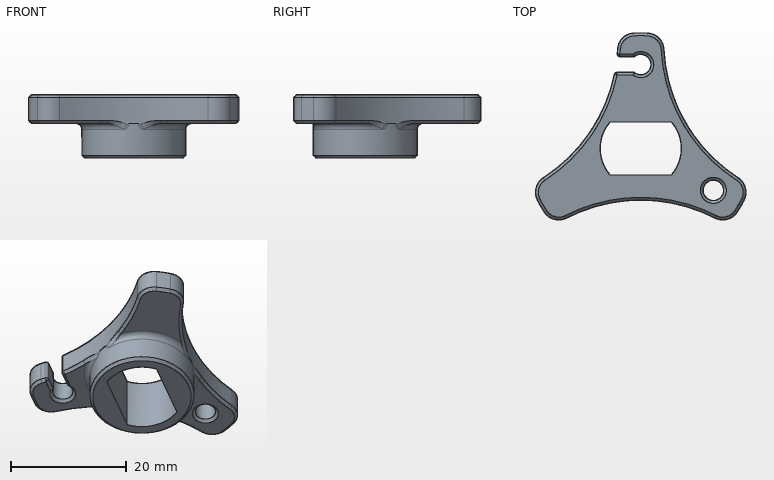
import cadquery as cq
import math

plate_thickness = 5.0
total_height = 11.0
edge_chamfer = 0.5
arm_count = 3
arm_step = 360.0 / arm_count

tip_radius = 20.0
tip_corner_radius = 3.0
waist_arc_radius = 28.0
waist_distance = 8.95

boss_radius = 9.0
boss_fillet = 1.0

window_diameter = 14.0
window_width = 9.1

hole_diameter = 3.5
hole_distance = 14.5
hook_arm_angle = 90.0
round_hole_arm_angle = hook_arm_angle - arm_step
slot_width = 2.65
slot_mouth_radius = 0.5

tolerance = 0.01


def polar(radius, angle):
    """Point at a distance from the part axis, with the angle in degrees."""
    return (
        radius * math.cos(math.radians(angle)),
        radius * math.sin(math.radians(angle)),
    )


def between(start, end, fraction):
    """Point part of the way from start to end."""
    return tuple(a + (b - a) * fraction for a, b in zip(start, end))


def make_outline_prism(bottom_z):
    """Arm outline extruded from bottom_z up to the top face."""
    waist_center_distance = waist_distance + waist_arc_radius
    corner_center_distance = tip_radius - tip_corner_radius
    tangent_distance = waist_arc_radius + tip_corner_radius
    cosine = (waist_center_distance**2 + corner_center_distance**2 - tangent_distance**2) / (
        2 * waist_center_distance * corner_center_distance
    )
    half_tip_angle = arm_step / 2 - math.degrees(math.acos(cosine))
    tangent_fraction = tip_corner_radius / tangent_distance

    def corner_points(tip_angle, waist_angle):
        """Tip end, middle and waist end of one corner arc."""
        center = polar(corner_center_distance, tip_angle)
        waist_center = polar(waist_center_distance, waist_angle)
        tip_end = polar(tip_radius, tip_angle)
        waist_end = between(center, waist_center, tangent_fraction)
        chord_middle = between(tip_end, waist_end, 0.5)
        reach = tip_corner_radius / math.dist(center, chord_middle)
        return tip_end, between(center, chord_middle, reach), waist_end

    first_waist_angle = hook_arm_angle - arm_step / 2
    outline_start = corner_points(hook_arm_angle - half_tip_angle, first_waist_angle)[2]
    outline = cq.Workplane("XY").workplane(offset=bottom_z).moveTo(*outline_start)
    for index in range(arm_count):
        arm_angle = hook_arm_angle + index * arm_step
        next_arm_angle = arm_angle + arm_step
        waist_before = arm_angle - arm_step / 2
        waist_after = arm_angle + arm_step / 2
        tip_start, start_middle, _ = corner_points(arm_angle - half_tip_angle, waist_before)
        tip_end, end_middle, arm_end = corner_points(arm_angle + half_tip_angle, waist_after)
        next_arm_start = corner_points(next_arm_angle - half_tip_angle, waist_after)[2]
        outline = (
            outline.threePointArc(start_middle, tip_start)
            .threePointArc(polar(tip_radius, arm_angle), tip_end)
            .threePointArc(end_middle, arm_end)
            .threePointArc(polar(waist_distance, waist_after), next_arm_start)
        )
    return outline.close().extrude(-bottom_z)


def make_flared_disk():
    """Disk inside the plate whose underside curves down to the boss through the boss fillet."""
    flare_radius = boss_radius + boss_fillet
    disk_radius = flare_radius + 2 * edge_chamfer
    disk_top_z = -plate_thickness / 2
    fillet_end_z = -plate_thickness - boss_fillet
    arc_inset = boss_fillet * math.sqrt(0.5)
    disk = (
        cq.Workplane("XZ")
        .moveTo(0, disk_top_z)
        .lineTo(disk_radius, disk_top_z)
        .lineTo(disk_radius, -plate_thickness)
        .lineTo(flare_radius, -plate_thickness)
        .threePointArc((flare_radius - arc_inset, fillet_end_z + arc_inset), (boss_radius, fillet_end_z))
        .lineTo(0, fillet_end_z)
        .close()
        .revolve(360, (0, 0, 0), (0, 1, 0))
    )
    return disk.intersect(make_outline_prism(fillet_end_z))


def make_boss_flare():
    """Flare between plate and boss, with the rim chamfer following its sloping edges.

    The rim chamfers of neighbouring arms run into each other at the boss, so
    one arm's sector is chamfered by itself and then repeated.
    """
    disk = make_flared_disk()

    def on_sloping_rim(edge):
        middle = edge.positionAt(0.5)
        in_sector = middle.y > abs(middle.x) * math.tan(math.radians(90 - arm_step / 2))
        drop = abs(edge.startPoint().z - edge.endPoint().z)
        sloping = drop > boss_fillet / 2
        below_plate = edge.BoundingBox().zmax < -plate_thickness + tolerance
        return in_sector and sloping and below_plate

    rim = [edge for edge in disk.edges().vals() if on_sloping_rim(edge)]
    chamfered_disk = disk.newObject(rim).chamfer(edge_chamfer)

    wedge_reach = 2 * tip_radius
    wedge_corners = [
        (0, 0),
        polar(wedge_reach, hook_arm_angle - arm_step / 2),
        polar(wedge_reach, hook_arm_angle + arm_step / 2),
    ]
    wedge = cq.Workplane("XY").polyline(wedge_corners).close().extrude(-total_height)
    sector = chamfered_disk.intersect(wedge)
    flare = sector
    for index in range(1, arm_count):
        flare = flare.union(sector.rotate((0, 0, 0), (0, 0, 1), index * arm_step))
    return flare


def make_hook_slot():
    """Round seat of the hook with a slot that runs out through the -X side of its arm."""
    slot_length = tip_radius
    seat = cq.Workplane("XY").circle(hole_diameter / 2).extrude(-plate_thickness)
    channel = cq.Workplane("XY").rect(slot_length, slot_width).extrude(-plate_thickness)
    channel = channel.translate((-slot_length / 2, 0, 0))
    return seat.union(channel).translate((*polar(hole_distance, hook_arm_angle), 0))


def round_slot_mouth(plate):
    """Round the two upright edges where the slot leaves the arm."""

    def at_mouth(edge):
        center = edge.Center()
        on_slot_wall = abs(abs(center.y - hole_distance) - slot_width / 2) < tolerance
        return on_slot_wall and center.x < -hole_diameter / 2

    mouth_edges = [edge for edge in plate.edges("|Z").vals() if at_mouth(edge)]
    return plate.newObject(mouth_edges).fillet(slot_mouth_radius)


def make_plate():
    """Plate with the hook slot and the arm hole, chamfered all round on both faces."""
    plate = round_slot_mouth(make_outline_prism(-plate_thickness).cut(make_hook_slot()))
    hole_center = polar(hole_distance, round_hole_arm_angle)
    hole = cq.Workplane("XY").center(*hole_center).circle(hole_diameter / 2).extrude(-plate_thickness)
    return plate.cut(hole).faces("<Z or >Z").chamfer(edge_chamfer)


def make_boss():
    """Round boss below the plate with a chamfered lower rim."""
    boss = cq.Workplane("XY").workplane(offset=-total_height).circle(boss_radius)
    boss = boss.extrude(total_height - plate_thickness)
    return boss.faces("<Z").edges().chamfer(edge_chamfer)


def make_window():
    """Through window: a circle cut by two flats parallel to X."""
    window = cq.Workplane("XY").circle(window_diameter / 2).extrude(-total_height)
    flats = cq.Workplane("XY").rect(window_diameter, window_width).extrude(-total_height)
    return window.intersect(flats)


result = make_plate().union(make_boss_flare()).union(make_boss()).cut(make_window())